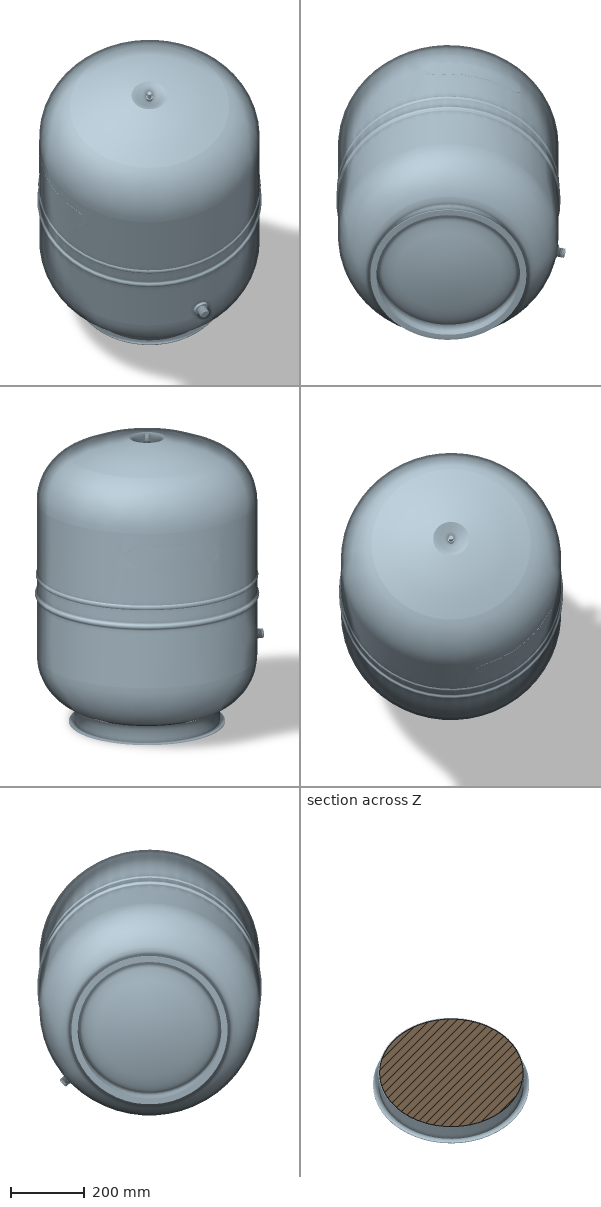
import cadquery as cq
import math

shell_radius = 300.0
lower_tangent_z = 191.0
upper_tangent_z = 632.0
knuckle_height = 132.4
crown_edge_radius = 216.5

knuckle_inset = shell_radius - crown_edge_radius
knuckle_sweep = 2 * math.atan(knuckle_inset / knuckle_height)
crown_edge_slope = math.pi / 2 - knuckle_sweep
crown_radius = crown_edge_radius / math.sin(crown_edge_slope)
top_crown_edge_z = upper_tangent_z + knuckle_height
bottom_crown_edge_z = lower_tangent_z - knuckle_height


def crown_rise(radius):
    """Height of the crown above its edge circle, at a distance from the vessel axis."""
    edge_depth = math.sqrt(crown_radius**2 - crown_edge_radius**2)
    return math.sqrt(crown_radius**2 - radius**2) - edge_depth


small_bead_z = 420.5
small_bead_width = 13.0
small_bead_radius = 303.0
large_bead_z = 366.2
large_bead_width = 22.4
large_bead_radius = 305.375
large_bead_crest_width = 12.0

total_height = 820.28
dish_radius = 48.5
valve_tip_radius = 12.0 / 2
valve_tip_length = 16.5
valve_base_radius = 17.0 / 2
valve_base_length = 8.5
dish_floor_z = total_height - valve_tip_length - valve_base_length
dish_rim_z = top_crown_edge_z + crown_rise(dish_radius)
valve_root_depth = 3.0

nozzle_z = 225.0
nozzle_end_x = 631.8 - large_bead_radius
nozzle_radius = 26.44 / 2
nozzle_embed = 10.0
nozzle_root_x = shell_radius - nozzle_embed
nozzle_end_chamfer = 1.5
thread_pitch = 1.814
thread_depth = 1.16
thread_count = 10
weld_root_radius = 21.5
weld_face_radius = 19.0
weld_face_x = 305.5

badge_radius = 600.88 / 2
badge_width = 270.0
badge_height = 58.0
badge_z = 563.5

skirt_trim_margin = 10.0
skirt_radius = 198.0
sheet_thickness = 2.5
flange_radius = 212.5


def make_shell():
    small_bead_bottom_z = small_bead_z - small_bead_width / 2
    small_bead_top_z = small_bead_z + small_bead_width / 2
    large_bead_bottom_z = large_bead_z - large_bead_width / 2
    large_bead_top_z = large_bead_z + large_bead_width / 2
    crest_share = large_bead_crest_width / large_bead_width
    crest_edge_radius = shell_radius + (large_bead_radius - shell_radius) * (1 - crest_share)
    crest_bottom_z = large_bead_z - large_bead_crest_width / 2
    crest_top_z = large_bead_z + large_bead_crest_width / 2

    crown_middle_radius = crown_edge_radius / 2
    bottom_middle_z = bottom_crown_edge_z - crown_rise(crown_middle_radius)
    bottom_apex_z = bottom_crown_edge_z - crown_rise(0)
    dish_depth = dish_rim_z - dish_floor_z
    dish_sphere_radius = (dish_radius**2 + dish_depth**2) / (2 * dish_depth)
    dish_middle_radius = dish_radius / 2
    dish_middle_z = (
        dish_floor_z + dish_sphere_radius - math.sqrt(dish_sphere_radius**2 - dish_middle_radius**2)
    )

    profile = (
        cq.Workplane("XZ")
        .moveTo(0, bottom_apex_z)
        .threePointArc((crown_middle_radius, bottom_middle_z), (crown_edge_radius, bottom_crown_edge_z))
        .tangentArcPoint((shell_radius, lower_tangent_z), relative=False)
        .lineTo(shell_radius, large_bead_bottom_z)
        .tangentArcPoint((crest_edge_radius, crest_bottom_z), relative=False)
        .tangentArcPoint((crest_edge_radius, crest_top_z), relative=False)
        .tangentArcPoint((shell_radius, large_bead_top_z), relative=False)
        .lineTo(shell_radius, small_bead_bottom_z)
        .threePointArc((small_bead_radius, small_bead_z), (shell_radius, small_bead_top_z))
        .lineTo(shell_radius, upper_tangent_z)
        .tangentArcPoint((crown_edge_radius, top_crown_edge_z), relative=False)
        .tangentArcPoint((dish_radius, dish_rim_z), relative=False)
        .threePointArc((dish_middle_radius, dish_middle_z), (0, dish_floor_z))
        .close()
    )
    return profile.revolve(360, (0, 0, 0), (0, 1, 0))


def make_valve():
    base = (
        cq.Workplane("XY")
        .workplane(offset=dish_floor_z - valve_root_depth)
        .circle(valve_base_radius)
        .extrude(valve_root_depth + valve_base_length)
    )
    return base.faces(">Z").workplane().circle(valve_tip_radius).extrude(valve_tip_length)


def make_nozzle():
    """Weld collar and threaded stub; the thread is a row of V-shaped ring grooves."""
    thread_end_x = nozzle_end_x - nozzle_end_chamfer
    thread_start_x = thread_end_x - thread_count * thread_pitch
    profile = (
        cq.Workplane("XZ")
        .moveTo(nozzle_root_x, nozzle_z)
        .lineTo(nozzle_root_x, nozzle_z + weld_root_radius)
        .lineTo(shell_radius, nozzle_z + weld_root_radius)
        .lineTo(weld_face_x, nozzle_z + weld_face_radius)
        .lineTo(weld_face_x, nozzle_z + nozzle_radius)
        .lineTo(thread_start_x, nozzle_z + nozzle_radius)
    )
    for turn in range(thread_count):
        groove_x = thread_start_x + turn * thread_pitch
        profile = profile.lineTo(groove_x + thread_pitch / 2, nozzle_z + nozzle_radius - thread_depth)
        profile = profile.lineTo(groove_x + thread_pitch, nozzle_z + nozzle_radius)
    profile = (
        profile.lineTo(nozzle_end_x, nozzle_z + nozzle_radius - nozzle_end_chamfer)
        .lineTo(nozzle_end_x, nozzle_z)
        .close()
    )
    return profile.revolve(360, (0, nozzle_z, 0), (1, nozzle_z, 0))


def make_badge():
    """Round-ended plate wrapped on the wall."""
    sleeve = (
        cq.Workplane("XY")
        .workplane(offset=badge_z - badge_height)
        .circle(badge_radius)
        .circle(shell_radius)
        .extrude(2 * badge_height)
    )
    outline = (
        cq.Workplane("XZ")
        .center(0, badge_z)
        .slot2D(badge_width, badge_height)
        .extrude(badge_radius)
    )
    return sleeve.intersect(outline)


def make_foot_ring(vessel):
    """Thin skirt with an outward floor flange, its top edge trimmed to the bottom crown."""
    blank_height = bottom_crown_edge_z + skirt_trim_margin
    skirt = cq.Workplane("XY").circle(skirt_radius).extrude(blank_height)
    flange = cq.Workplane("XY").circle(flange_radius).extrude(sheet_thickness)
    bore = cq.Workplane("XY").circle(skirt_radius - sheet_thickness).extrude(blank_height)
    return skirt.union(flange).cut(bore).cut(vessel)


vessel = make_shell().union(make_valve()).union(make_nozzle()).union(make_badge())
foot_ring = make_foot_ring(vessel)

result = cq.Compound.makeCompound([vessel.val(), foot_ring.val()])